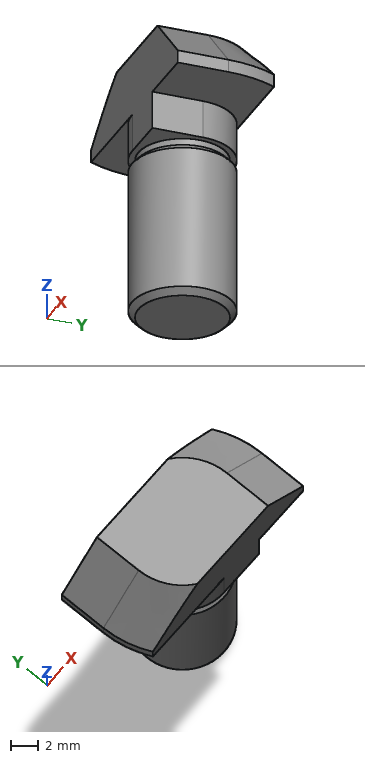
import cadquery as cq

total_height = 21.0
head_length = 18.0
shank_diameter = 8.0
groove_diameter = 7.0
head_height = 5.0
head_edge_height = 1.0
neck_height = 3.0
groove_height = 1.0

head_half = head_length / 2
shank_radius = shank_diameter / 2
groove_radius = groove_diameter / 2
chamfer = shank_radius - groove_radius
head_bottom = total_height - head_height
neck_bottom = head_bottom - neck_height
shank_top = neck_bottom - groove_height
slope = head_height - head_edge_height
top_half = head_half - slope

tee_half_outline = [
    (0, neck_bottom),
    (shank_radius, neck_bottom),
    (shank_radius, head_bottom),
    (head_half, head_bottom),
    (head_half, head_bottom + head_edge_height),
    (top_half, total_height),
    (0, total_height),
]


def tee_prism():
    """Straight T-shaped bar, as thick as the shank."""
    half = cq.Workplane("XZ").polyline(tee_half_outline).close().extrude(shank_radius, both=True)
    return half.union(half.mirror("YZ"))


def square_quadrant(x_side, y_side):
    """Block covering one quadrant, where the bar keeps its square corner."""
    return cq.Workplane("XY").box(head_half, shank_radius, total_height).translate(
        (x_side * head_half / 2, y_side * shank_radius / 2, total_height / 2)
    )


def head_and_neck():
    """Bar with two opposite quadrants rounded about the shank axis, so it can turn in a slot."""
    rounded = cq.Workplane("XZ").polyline(tee_half_outline).close().revolve(360, (0, 0), (0, 1))
    bar = tee_prism()
    body = bar.intersect(rounded)
    for side in (-1, 1):
        body = body.union(bar.intersect(square_quadrant(side, -side)))
    return body


def shank():
    """Round shank with a chamfered foot and a relief groove under the neck."""
    outline = [
        (0, 0),
        (groove_radius, 0),
        (shank_radius, chamfer),
        (shank_radius, shank_top),
        (groove_radius, shank_top + chamfer),
        (groove_radius, neck_bottom),
        (0, neck_bottom),
    ]
    return cq.Workplane("XZ").polyline(outline).close().revolve(360, (0, 0), (0, 1))


result = head_and_neck().union(shank())